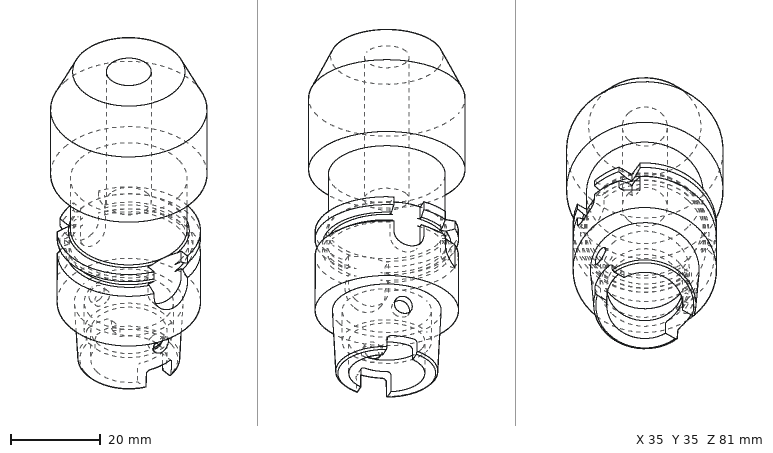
import cadquery as cq
import math

total_height = 81.0
head_radius = 17.5
nose_radius = 12.55
nose_cone_base = 70.5
head_bottom = 52.1
head_cone_bottom = 50.95
clamping_bore_radius = 5.0
clamping_bore_depth = 36.45

neck_radius = 13.05
collar_radius = 13.5
collar_top = 36.6
flange_radius = 16.0
flange_top = 36.2
flange_bottom = 16.0
groove_radius = 13.4
groove_lip_radius = 14.3
groove_upper_edge = 34.2
groove_ceiling = 33.2
groove_floor = 31.3
groove_lower_edge = 30.05

taper_top_radius = 12.15
taper_bottom_radius = 11.4
taper_chamfer = 0.5
shank_bore_radius = 8.5
shank_bore_depth = 16.0
undercut_radius = 10.0
undercut_bottom = 8.1
cross_hole_radius = 2.1
cross_hole_height = 11.2

slot_bottom = 24.1
narrow_slot_width = 7.05
wide_slot_width = 9.4
slot_floor = neck_radius
corner_notch_wall = 9.5
end_slot_fillet = 0.9
low_end_slot_height = 3.2
high_end_slot_height = 5.2


def body():
    """Revolve the outer profile around Z."""
    profile = [
        (0, 0),
        (taper_bottom_radius - taper_chamfer, 0),
        (taper_bottom_radius, taper_chamfer),
        (taper_top_radius, flange_bottom),
        (flange_radius, flange_bottom),
        (flange_radius, groove_lower_edge),
        (groove_lip_radius, groove_floor),
        (groove_radius, groove_floor),
        (groove_radius, groove_ceiling),
        (groove_lip_radius, groove_ceiling),
        (flange_radius, groove_upper_edge),
        (flange_radius, flange_top),
        (collar_radius, flange_top),
        (neck_radius, collar_top),
        (neck_radius, head_cone_bottom),
        (head_radius, head_bottom),
        (head_radius, nose_cone_base),
        (nose_radius, total_height),
        (0, total_height),
    ]
    return cq.Workplane("XZ").polyline(profile).close().revolve(360, (0, 0), (0, 1))


def bore(radius, bottom, depth):
    return cq.Workplane("XY").workplane(offset=bottom).circle(radius).extrude(depth)


def flange_slot(width, floor, side, center_y=0):
    """Round-bottomed slot, open upwards, from the floor outwards; side is the sign of X."""
    radius = width / 2
    round_center = slot_bottom + radius
    return (
        cq.Workplane("YZ")
        .workplane(offset=side * floor)
        .moveTo(center_y - radius, collar_top)
        .lineTo(center_y - radius, round_center)
        .threePointArc((center_y, slot_bottom), (center_y + radius, round_center))
        .lineTo(center_y + radius, collar_top)
        .close()
        .extrude(side * flange_radius)
    )


def end_slot(height, side):
    """Slot across one wall of the shank end with rounded upper corners."""
    return (
        cq.Workplane("XY")
        .box(flange_radius, narrow_slot_width, height, centered=(False, True, False))
        .edges("|X and >Z")
        .fillet(end_slot_fillet)
        .rotate((0, 0, 0), (0, 0, 1), 0 if side > 0 else 180)
    )


corner_notch_center = -math.sqrt(flange_radius**2 - corner_notch_wall**2)
corner_notch_width = 2 * (-corner_notch_center - corner_notch_wall)

cross_hole = (
    cq.Workplane("YZ")
    .center(0, cross_hole_height)
    .circle(cross_hole_radius)
    .extrude(flange_radius, both=True)
)

result = (
    body()
    .cut(bore(clamping_bore_radius, total_height - clamping_bore_depth, clamping_bore_depth))
    .cut(bore(shank_bore_radius, 0, shank_bore_depth))
    .cut(bore(undercut_radius, undercut_bottom, shank_bore_depth - undercut_bottom))
    .cut(cross_hole)
    .cut(end_slot(low_end_slot_height, -1))
    .cut(end_slot(high_end_slot_height, 1))
    .cut(flange_slot(narrow_slot_width, slot_floor, -1))
    .cut(flange_slot(wide_slot_width, slot_floor, 1))
    .cut(flange_slot(corner_notch_width, corner_notch_wall, -1, corner_notch_center))
)